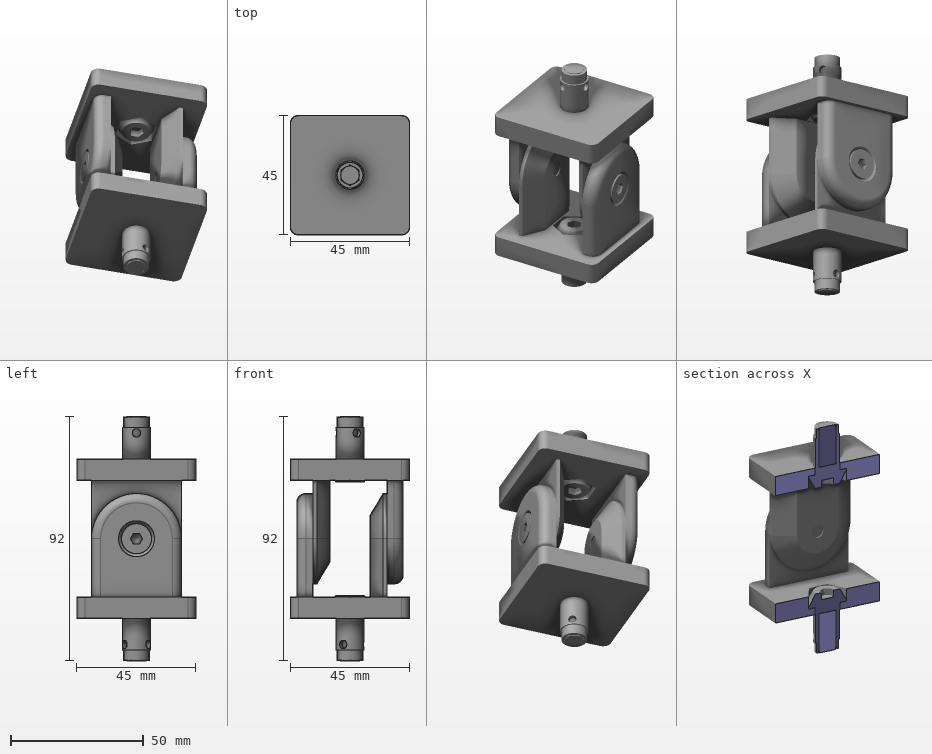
import cadquery as cq
import math

PLATE_SIDE = 45.0
PLATE_THICK = 8.0
PLATE_CORNER_R = 3.0
PLATE_INNER_Z = 22.0
LUG_R = 17.0
LUG_SPLIT_X = 14.0
OUTER_FACE_X = 20.1
OUTER_EDGE_R = 3.5
INNER_FACE_X = 7.5
BEVEL_DEPTH = 5.0
BEVEL_WIDTH = 8.3

SCREW_HEAD_R = 11.3 / 2
SCREW_SHANK_R = 6.0 / 2
SCREW_TIP_R = 5.0 / 2
SCREW_RIM = 1.1
SCREW_NECK_X = OUTER_FACE_X - SCREW_RIM - (SCREW_HEAD_R - SCREW_SHANK_R)
SCREW_TIP_GAP = 0.5
SCREW_SOCKET_FLATS = 4.0
SCREW_SOCKET_DEPTH = 3.7
DRILL_HALF_ANGLE = 60

PIN_R = 10.7 / 2
PIN_END_R = 9.7 / 2
PIN_STEP_Z = 41.95
PIN_END_Z = 45.8
HEAD_FLATS = 14.0
HEAD_THICK = 5.0
HEAD_RISE = 0.55
HEAD_CONE_ANGLE = 60
MOUTH_FLATS = 6.7
MOUTH_DEPTH = 0.9
DRIVE_FLATS = 5.0
DRIVE_DEPTH = 2.8
BALL_HOLE_R = 3.1 / 2
BALL_HOLE_Z = 39.8
BALL_HOLE_ANGLES = (60, 180, 300)

ROD_R = 7.0 / 2
ROD_END_Z = 46.0
ROD_START_Z = PLATE_INNER_Z + PLATE_THICK


def hexagon_across(flats):
    """Corner-to-corner size of a hexagon with the given distance across flats."""
    return flats / math.cos(math.radians(30))


def cylinder_z(radius, z_start, z_end):
    return cq.Workplane("XY").workplane(offset=z_start).circle(radius).extrude(z_end - z_start)


def hex_prism_z(flats, z_start, z_end):
    """Hexagonal prism along Z with corners on the Y axis."""
    plane = cq.Workplane("XY").workplane(offset=z_start).transformed(rotate=(0, 0, 90))
    return plane.polygon(6, hexagon_across(flats)).extrude(z_end - z_start)


def lug(x_start, x_end):
    """Round-ended lug hanging from the upper plate down around the hinge axis."""
    outline = (
        cq.Workplane("YZ").workplane(offset=x_start)
        .moveTo(-LUG_R, PLATE_INNER_Z)
        .lineTo(-LUG_R, 0)
        .threePointArc((0, -LUG_R), (LUG_R, 0))
        .lineTo(LUG_R, PLATE_INNER_Z)
        .close()
    )
    return outline.extrude(x_end - x_start)


def outer_lug():
    """Lug on the +X side with a rounded outer rim."""
    body = lug(LUG_SPLIT_X, OUTER_FACE_X)
    rim = body.faces(">X").edges("not >Z")
    return rim.fillet(OUTER_EDGE_R)


def inner_lug():
    """Lug on the -X side; its rim tapers toward the middle of the hinge."""
    body = lug(-LUG_SPLIT_X, -INNER_FACE_X)
    rim = body.faces(">X").edges("not >Z")
    return rim.chamfer(BEVEL_DEPTH, BEVEL_WIDTH)


def hinge_screw_shape(tip_x, head_profile):
    """Revolved screw form on the +X side: thread, shank, then the given (x, radius) head points."""
    points = [
        (tip_x, 0),
        (tip_x, SCREW_TIP_R),
        (LUG_SPLIT_X, SCREW_TIP_R),
        (LUG_SPLIT_X, SCREW_SHANK_R),
        (SCREW_NECK_X, SCREW_SHANK_R),
        *head_profile,
        (OUTER_FACE_X, 0),
    ]
    return cq.Workplane("XY").polyline(points).close().revolve(360, (0, 0, 0), (1, 0, 0))


def screw_hole():
    """Countersunk hole whose cone runs on past the head's rim to the lug face."""
    return hinge_screw_shape(INNER_FACE_X, [(OUTER_FACE_X, SCREW_HEAD_R + SCREW_RIM)])


def hinge_screw():
    """Countersunk screw with a hexagon socket that ends in a conical floor."""
    head_profile = [(OUTER_FACE_X - SCREW_RIM, SCREW_HEAD_R), (OUTER_FACE_X, SCREW_HEAD_R)]
    screw = hinge_screw_shape(INNER_FACE_X + SCREW_TIP_GAP, head_profile)
    floor_x = OUTER_FACE_X - SCREW_SOCKET_DEPTH
    hexagon = (
        cq.Workplane("YZ").workplane(offset=floor_x)
        .polygon(6, hexagon_across(SCREW_SOCKET_FLATS))
        .extrude(SCREW_SOCKET_DEPTH)
    )
    mouth_r = SCREW_SOCKET_DEPTH * math.tan(math.radians(DRILL_HALF_ANGLE))
    tip = cq.Vector(floor_x, 0, 0)
    drill_cone = cq.Solid.makeCone(0, mouth_r, SCREW_SOCKET_DEPTH, tip, cq.Vector(1, 0, 0))
    return screw.cut(hexagon.intersect(cq.Workplane(drill_cone)))


def pin():
    """Sleeve with a tapered, socketed hexagon head, ball holes and a hexagon mouth."""
    head_top_z = PLATE_INNER_Z - HEAD_RISE
    head_bottom_z = PLATE_INNER_Z + HEAD_THICK
    head = hex_prism_z(HEAD_FLATS, head_top_z, head_bottom_z)
    height = head_bottom_z - head_top_z
    flare = height / math.tan(math.radians(HEAD_CONE_ANGLE))
    cone = cq.Solid.makeCone(PIN_R, PIN_R + flare, height, cq.Vector(0, 0, head_top_z), cq.Vector(0, 0, 1))
    sleeve = head.intersect(cq.Workplane(cone))
    sleeve = sleeve.union(cylinder_z(PIN_R, head_bottom_z, PIN_STEP_Z))
    sleeve = sleeve.union(cylinder_z(PIN_END_R, PIN_STEP_Z, PIN_END_Z))
    sleeve = sleeve.cut(cylinder_z(ROD_R, ROD_START_Z, PIN_END_Z))
    sleeve = sleeve.cut(hex_prism_z(MOUTH_FLATS, PIN_END_Z - MOUTH_DEPTH, PIN_END_Z))
    drive_top_z = head_top_z + DRIVE_DEPTH
    drive = hex_prism_z(DRIVE_FLATS, head_top_z, drive_top_z).rotate((0, 0, 0), (0, 0, 1), 30)
    sleeve = sleeve.cut(drive)
    for angle in BALL_HOLE_ANGLES:
        direction = cq.Vector(math.cos(math.radians(angle)), math.sin(math.radians(angle)), 0)
        drill = cq.Solid.makeCylinder(BALL_HOLE_R, PIN_R, cq.Vector(0, 0, BALL_HOLE_Z), direction)
        sleeve = sleeve.cut(cq.Workplane(drill))
    return sleeve


def core_rod():
    """Rod filling the sleeve's bore and standing slightly out of its end."""
    return cylinder_z(ROD_R, ROD_START_Z, ROD_END_Z)


def fork():
    """Upper fork: plate with the outer lug on +X, the inner lug on -X, and all holes."""
    plate = (
        cq.Workplane("XY").workplane(offset=PLATE_INNER_Z)
        .rect(PLATE_SIDE, PLATE_SIDE)
        .extrude(PLATE_THICK)
        .edges("|Z").fillet(PLATE_CORNER_R)
    )
    body = plate.union(outer_lug()).union(inner_lug())
    body = body.cut(hex_prism_z(HEAD_FLATS, PLATE_INNER_Z, PLATE_INNER_Z + HEAD_THICK))
    body = body.cut(cylinder_z(PIN_R, PLATE_INNER_Z, PLATE_INNER_Z + PLATE_THICK))
    body = body.cut(screw_hole())
    return body.cut(screw_hole().rotate((0, 0, 0), (0, 1, 0), 180))


half_parts = (fork(), pin(), core_rod(), hinge_screw())
bodies = []
for turn in (0, 180):
    for part in half_parts:
        bodies.append(part.rotate((0, 0, 0), (0, 1, 0), turn).val())

result = cq.Compound.makeCompound(bodies)